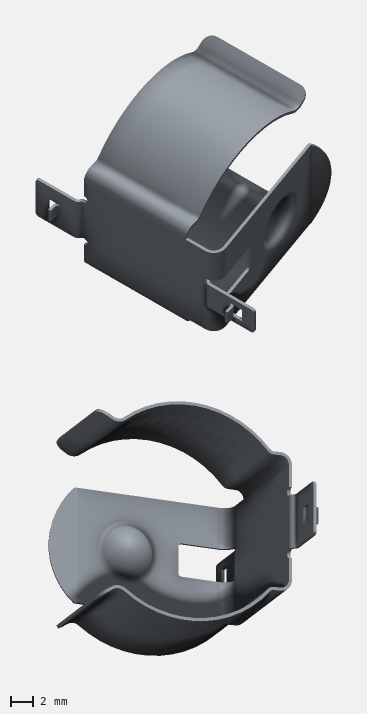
import cadquery as cq
import math

thickness = 0.3

base_length = 13.65
base_half_height = 5.41
spring_fold_radius = 1.0
spring_lean = 5.0
wall_length = 14.18
flare_angle = 15.0
flare_bend_radius = 0.6
flare_tip_radius = 7.5

dome_height = 1.55
dome_foot_radius = 2.95
dome_blend_radius = 0.7
dome_position = 9.2

cell_radius = 10.0
cell_center_y = 9.92
strap_width = 11.47
strap_fold_radius = 0.8
strap_neck_radius = 0.55
wrap_end_angle = 37.4
lip_bend_radius = 0.9
lip_angle = 32.0
lip_length = 1.5
lip_corner_radius = 1.13

foot_bend_radius = 0.3
foot_bend_angle = 45.0
foot_drop = 0.42
foot_corner_radius = 0.35
left_foot_width = 5.02
left_foot_reach = 5.12
right_foot_width = 3.13
right_foot_reach = 5.83
window_length = 1.48
window_width = 1.53
window_to_tip = 1.35
prong_bend_radius = 0.35
prong_depth = 1.43

notch_radius = 0.42
slot_top = 5.46
slot_corner_radius = 0.3


def polar(angle):
    """Unit vector at an angle in degrees."""
    return math.cos(math.radians(angle)), math.sin(math.radians(angle))


def step(point, angle, distance):
    """Point reached by moving a distance along an angle."""
    dx, dy = polar(angle)
    return point[0] + distance * dx, point[1] + distance * dy


def line(length):
    return "line", length, 0


def bend(inner_radius, angle):
    """A fold; positive angles turn left."""
    return "bend", inner_radius, angle


def bent_sheet(plane, start, heading, moves, width):
    """Fold a strip of sheet whose width is centred on the plane.

    The path follows one face of the sheet and the other face lies to its left.
    Returns the strip with the path's end point and heading.
    """
    near = start
    far = step(start, heading + 90, thickness)
    outline = cq.Workplane(plane).moveTo(*near)
    way_back = []
    for kind, size, turn in moves:
        if kind == "line":
            way_back.append((None, far))
            near = step(near, heading, size)
            far = step(far, heading, size)
            outline = outline.lineTo(*near)
            continue
        to_center = heading + math.copysign(90, turn)
        near_radius = size + thickness if turn > 0 else size
        far_radius = size if turn > 0 else size + thickness
        center = step(near, to_center, near_radius)
        outward = to_center + 180
        far_mid = step(center, outward + turn / 2, far_radius)
        way_back.append((far_mid, far))
        near_mid = step(center, outward + turn / 2, near_radius)
        near = step(center, outward + turn, near_radius)
        far = step(center, outward + turn, far_radius)
        outline = outline.threePointArc(near_mid, near)
        heading += turn
    outline = outline.lineTo(*far)
    for middle, end in reversed(way_back):
        outline = outline.lineTo(*end) if middle is None else outline.threePointArc(middle, end)
    return outline.close().extrude(width / 2, both=True), near, heading


def make_base_and_spring():
    """Base plate, contact wall with its dome and slot, and the rounded flare at the tip."""
    fold = 90 + spring_lean
    lower, wall_start, wall_heading = bent_sheet(
        "XY", (0, 0), 0, [line(base_length), bend(spring_fold_radius, fold)], 2 * base_half_height
    )
    upper, flare_start, flare_heading = bent_sheet(
        "XY",
        wall_start,
        wall_heading,
        [line(wall_length), bend(flare_bend_radius, -spring_lean - flare_angle)],
        2 * base_half_height,
    )

    flare_rise = flare_tip_radius - math.sqrt(flare_tip_radius**2 - base_half_height**2)
    flare_plane = cq.Plane(
        origin=(*flare_start, 0), xDir=(*polar(flare_heading), 0), normal=(*polar(flare_heading + 90), 0)
    )
    flare = (
        cq.Workplane(flare_plane)
        .moveTo(0, -base_half_height)
        .threePointArc((flare_rise, 0), (0, base_half_height))
        .close()
        .extrude(thickness)
    )

    outer_point = step(wall_start, wall_heading, dome_position)
    dome_origin = step(outer_point, wall_heading + 90, thickness)
    dome_plane = cq.Plane(origin=(*dome_origin, 0), xDir=(*polar(wall_heading), 0), normal=(0, 0, 1))
    opening = (
        cq.Workplane(dome_plane)
        .transformed(rotate=(90, 0, 0))
        .circle(dome_foot_radius)
        .extrude(2 * thickness, both=True)
    )

    slot = (
        cq.Workplane("YZ", origin=(base_length, 0, 0))
        .rect(2 * slot_top, right_foot_width)
        .extrude(2 * spring_fold_radius)
        .edges("|X")
        .fillet(slot_corner_radius)
    )
    return lower.union(upper).union(flare).cut(opening).cut(slot).union(make_dome(dome_plane))


def make_dome(plane):
    """Hollow spherical dome blended into the wall, of the same thickness as the sheet."""
    slope = 2 * math.degrees(math.atan(dome_height / dome_foot_radius))
    ball_radius = dome_foot_radius / math.sin(math.radians(slope)) - dome_blend_radius
    ball_center = (0, dome_height - ball_radius)
    blend_center = (dome_foot_radius, dome_blend_radius)

    def on_ball(angle, inset):
        return step(ball_center, 90 - angle, ball_radius - inset)

    def on_blend(angle, inset):
        return step(blend_center, 270 - angle, dome_blend_radius + inset)

    return (
        cq.Workplane(plane)
        .moveTo(*on_ball(0, 0))
        .threePointArc(on_ball(slope / 2, 0), on_ball(slope, 0))
        .threePointArc(on_blend(slope / 2, 0), on_blend(0, 0))
        .lineTo(*on_blend(0, thickness))
        .threePointArc(on_blend(slope / 2, thickness), on_blend(slope, thickness))
        .threePointArc(on_ball(slope / 2, thickness), on_ball(0, thickness))
        .close()
        .revolve(360, (0, 0, 0), (0, 1, 0))
    )


def make_lower_strap():
    """Strap folded up from the base's lower edge, wrapped around the cell and ending in a lip."""
    fold_outer_radius = strap_fold_radius + thickness
    neck_half_height = base_half_height + fold_outer_radius
    neck_to_cell = cell_radius + thickness + strap_neck_radius
    neck_angle = math.degrees(math.acos((neck_half_height + strap_neck_radius) / neck_to_cell))
    neck_length = cell_center_y - neck_to_cell * math.sin(math.radians(neck_angle)) - fold_outer_radius
    moves = [
        bend(strap_fold_radius, 90),
        line(neck_length),
        bend(strap_neck_radius, -neck_angle),
        bend(cell_radius, neck_angle + wrap_end_angle),
        bend(lip_bend_radius, -wrap_end_angle - lip_angle),
        line(lip_length),
    ]
    plane = cq.Plane(origin=(strap_width / 2, 0, 0), xDir=(0, 1, 0), normal=(1, 0, 0))
    strap, _, _ = bent_sheet(plane, (0, -base_half_height), -90, moves, strap_width)
    return strap.faces(">Y").edges("#X").fillet(lip_corner_radius)


def make_foot(width, reach):
    """Foot pointing along +X from X = 0, stepped below the base, with a prong bent out of its window."""
    rise_per_radius = 1 - math.cos(math.radians(foot_bend_angle))
    sine = math.sin(math.radians(foot_bend_angle))
    ramp = (foot_drop - (2 * foot_bend_radius + thickness) * rise_per_radius) / sine
    joggle = (2 * foot_bend_radius + thickness) * sine + ramp * math.cos(math.radians(foot_bend_angle))
    moves = [
        bend(foot_bend_radius, -foot_bend_angle),
        line(ramp),
        bend(foot_bend_radius, foot_bend_angle),
        line(reach - joggle),
    ]
    foot, _, _ = bent_sheet("XY", (0, 0), 0, moves, width)
    foot = foot.faces(">X").edges("|Y").fillet(foot_corner_radius)

    window_start = reach - window_to_tip - window_length
    window = (
        cq.Workplane("XY")
        .box(window_length, 4 * thickness, window_width)
        .translate((window_start + window_length / 2, -foot_drop, 0))
    )
    prong_moves = [
        bend(prong_bend_radius, -90),
        line(prong_depth - foot_drop - prong_bend_radius),
    ]
    prong, _, _ = bent_sheet("XY", (window_start, -foot_drop), 0, prong_moves, window_width)
    return foot.cut(window).union(prong)


def make_notches():
    """Relief holes on the base's left edge, one on each side of the left foot."""
    offset = left_foot_width / 2 + notch_radius
    return (
        cq.Workplane("XZ")
        .pushPoints([(0, -offset), (0, offset)])
        .circle(notch_radius)
        .extrude(-thickness)
    )


lower_strap = make_lower_strap()
left_foot = make_foot(left_foot_width, left_foot_reach).mirror("YZ")
right_foot = make_foot(right_foot_width, right_foot_reach).translate((base_length, 0, 0))

result = (
    make_base_and_spring()
    .cut(make_notches())
    .union(lower_strap)
    .union(lower_strap.mirror("XY"))
    .union(left_foot)
    .union(right_foot)
)